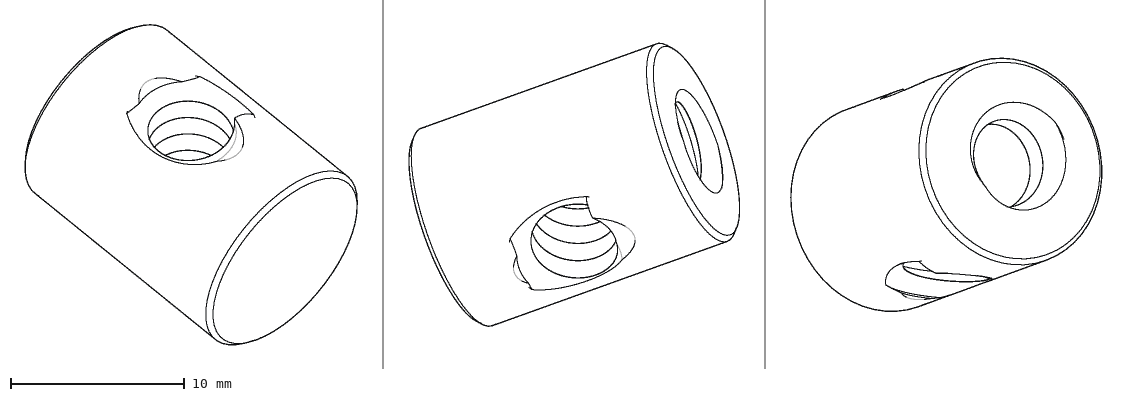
import cadquery as cq
import math

length = 15.62
body_diameter = 12.1
body_radius = body_diameter / 2
end_chamfer = 0.3

minor_radius = 2.5
major_radius = 3.78
pitch = 1.5
flank_half_angle = math.radians(30.0)
bore_overlap = 0.02

end_root_angle = 228.0
cross_root_angle = 287.0

end_hole_depth = 3.11

countersink_depth = 0.36
countersink_radius = 3.75


def make_thread_groove(depth, root_angle):
    """Right-hand helical groove along +Z; its root crosses Z = 0 at root_angle.

    It starts and ends beyond the given depth.
    """
    inner_radius = minor_radius - bore_overlap
    half_width = (major_radius - inner_radius) * math.tan(flank_half_angle)
    turns_before = 1
    turns_total = math.ceil(depth / pitch) + 2 * turns_before

    helix = cq.Wire.makeHelix(pitch, turns_total * pitch, inner_radius)
    return (
        cq.Workplane("XZ")
        .polyline([(inner_radius, -half_width), (major_radius, 0), (inner_radius, half_width)])
        .close()
        .sweep(cq.Workplane(obj=helix), isFrenet=True)
        .rotate((0, 0, 0), (0, 0, 1), root_angle)
        .translate((0, 0, -turns_before * pitch))
    )


def make_body():
    """Plain round bar with both end rims chamfered."""
    return (
        cq.Workplane("YZ", origin=(-length / 2, 0, 0))
        .circle(body_radius)
        .extrude(length)
        .faces("<X or >X")
        .chamfer(end_chamfer)
    )


def make_end_bore():
    """Blind bore from the middle of the -X end face."""
    return cq.Workplane("YZ", origin=(-length / 2, 0, 0)).circle(minor_radius).extrude(end_hole_depth)


def make_end_groove():
    """Thread groove of the end bore, turned from +Z to +X."""
    groove = make_thread_groove(end_hole_depth, end_root_angle)
    above_floor = (
        cq.Workplane("XY", origin=(0, 0, end_hole_depth)).circle(body_radius).extrude(-length)
    )
    groove = groove.intersect(above_floor)
    return groove.rotate((0, 0, 0), (0, 1, 0), 90).translate((-length / 2, 0, 0))


def make_cross_bore():
    """Bore through the middle of the body along Z."""
    return cq.Workplane("XY", origin=(0, 0, -body_radius)).circle(minor_radius).extrude(body_diameter)


def make_cross_groove():
    """Thread groove of the cross bore, starting at the lowest line of the body."""
    groove = make_thread_groove(body_diameter, cross_root_angle)
    return groove.translate((0, 0, -body_radius))


def make_upper_countersink():
    """Shallow cone at the upper mouth of the cross hole."""
    cone_base = cq.Vector(0, 0, body_radius - countersink_depth)
    return cq.Workplane(
        obj=cq.Solid.makeCone(minor_radius, countersink_radius, countersink_depth, pnt=cone_base)
    )


upper_countersink = make_upper_countersink()
lower_countersink = upper_countersink.mirror("XY")

result = (
    make_body()
    .cut(make_cross_groove())
    .cut(make_cross_bore())
    .cut(make_end_groove())
    .cut(make_end_bore())
    .cut(upper_countersink)
    .cut(lower_countersink)
)